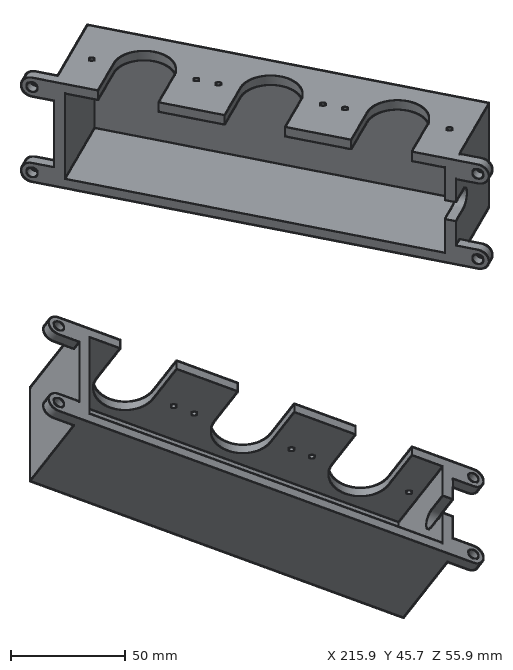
import cadquery as cq

body_length = 185.42
body_depth = 45.72
body_height = 55.88
wall = 5.08

ear_reach = 15.24
ear_height = 10.16
ear_radius = ear_height / 2
ear_thickness = 5.08
ear_hole_diameter = 5.08

slot_width = 27.94
slot_pitch = 58.42
slot_count = 3
slot_centre_y = 21.59

screw_hole_diameter = 2.54
screw_hole_offset = 24.13

notch_width = 10.16
notch_rise = 0.3
notch_centre_y = 10.16
notch_centre_z = body_height / 2 + notch_rise

slot_centres_x = [(i - (slot_count - 1) / 2) * slot_pitch for i in range(slot_count)]


def box_body():
    """Rectangular box with equal walls, hollowed from the front."""
    outer = cq.Workplane("XY").box(body_length, body_depth, body_height, centered=(True, False, False))
    cavity = (
        cq.Workplane("XY", origin=(0, 0, wall))
        .box(
            body_length - 2 * wall,
            body_depth - wall,
            body_height - 2 * wall,
            centered=(True, False, False),
        )
    )
    return outer.cut(cavity)


def ear(side, centre_z):
    """Round-ended lug with a through hole; side is -1 for -X and +1 for +X."""
    root_x = side * body_length / 2
    centre_x = side * (body_length / 2 + ear_reach - ear_radius)
    tip_x = side * (body_length / 2 + ear_reach)
    return (
        cq.Workplane("XZ")
        .moveTo(root_x, centre_z - ear_radius)
        .lineTo(centre_x, centre_z - ear_radius)
        .threePointArc((tip_x, centre_z), (centre_x, centre_z + ear_radius))
        .lineTo(root_x, centre_z + ear_radius)
        .close()
        .moveTo(centre_x, centre_z)
        .circle(ear_hole_diameter / 2)
        .extrude(-ear_thickness)
    )


def top_slot(centre_x):
    """Cutter for one slot through the top wall."""
    half_width = slot_width / 2
    return (
        cq.Workplane("XY", origin=(centre_x, 0, body_height - wall))
        .moveTo(-half_width, 0)
        .lineTo(-half_width, slot_centre_y)
        .threePointArc((0, slot_centre_y + half_width), (half_width, slot_centre_y))
        .lineTo(half_width, 0)
        .close()
        .extrude(wall)
    )


def screw_holes(centre_x):
    """Cutter for the two screw holes through the top wall beside one slot."""
    return (
        cq.Workplane("XY", origin=(centre_x, slot_centre_y, body_height - wall))
        .pushPoints([(-screw_hole_offset, 0), (screw_hole_offset, 0)])
        .circle(screw_hole_diameter / 2)
        .extrude(wall)
    )


def cable_notch():
    """Cutter for the notch through the +X wall just above mid height."""
    half_width = notch_width / 2
    return (
        cq.Workplane("YZ", origin=(body_length / 2 - wall, 0, notch_centre_z))
        .moveTo(0, -half_width)
        .lineTo(notch_centre_y, -half_width)
        .threePointArc((notch_centre_y + half_width, 0), (notch_centre_y, half_width))
        .lineTo(0, half_width)
        .close()
        .extrude(wall)
    )


result = box_body()

for side in (-1, 1):
    for centre_z in (ear_radius, body_height - ear_radius):
        result = result.union(ear(side, centre_z))

for centre_x in slot_centres_x:
    result = result.cut(top_slot(centre_x))
    result = result.cut(screw_holes(centre_x))

result = result.cut(cable_notch())